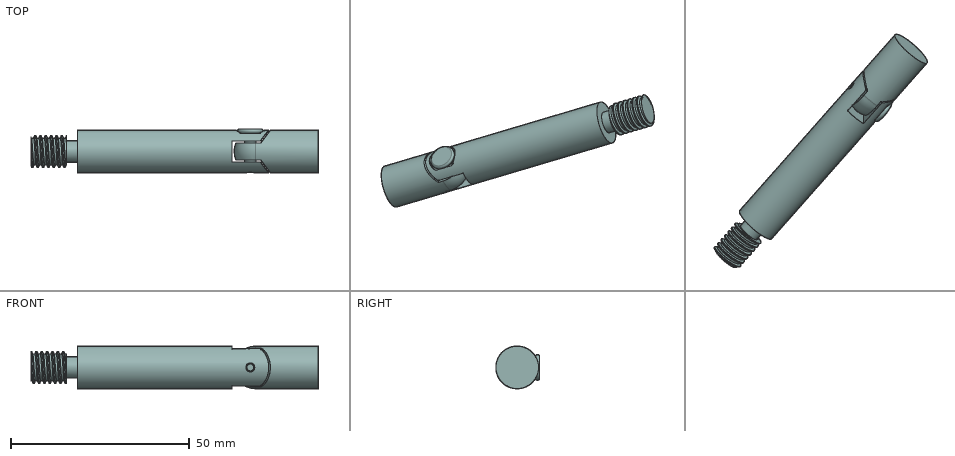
import cadquery as cq
import math

total_length = 80.5
body_dia = 12.0
body_radius = body_dia / 2
pivot_x = 61.4
cut_size = 2 * body_dia

thread_dia = 9.0
root_dia = 7.6
thread_pitch = 1.5
thread_crest_width = 0.3
thread_base_width = 1.05
thread_embed = 0.2
thread_length = 10.0
neck_dia = 6.0
body_start = 13.0

slot_start = 56.35
slot_width = 5.8
tongue_width = 4.8
tongue_sphere_x = 62.9

shoulder_start = 64.2
shoulder_end = 66.6
shoulder_gap = 0.5

shank_dia = 3.3
tip_dia = 2.5
tip_chamfer = 0.28
tip_end_y = -5.6
head_dia = 7.25
head_seat_y = 5.1
head_top_y = 6.32
head_face_dia = 6.3
counterbore_dia = 8.05


def x_cylinder(diameter, start, end):
    """Cylinder on the X axis."""
    return cq.Workplane("YZ", origin=(start, 0, 0)).circle(diameter / 2).extrude(end - start)


def pivot_cylinder(diameter, start, end):
    """Cylinder on the pivot axis, running in +Y from start to end."""
    plane = cq.Plane(origin=(pivot_x, start, 0), xDir=(1, 0, 0), normal=(0, 1, 0))
    return cq.Workplane(plane).circle(diameter / 2).extrude(end - start)


def x_box(start, end, width):
    """Box centred on the X axis, of the given Y width and tall enough to cut through."""
    return cq.Workplane("XY").box(end - start, width, cut_size).translate(((start + end) / 2, 0, 0))


def thread():
    """Right-hand ridge on a root cylinder, trimmed flat at both ends."""
    plane = cq.Plane(origin=(-thread_pitch, 0, 0), xDir=(0, 0, 1), normal=(1, 0, 0))
    root_radius = root_dia / 2
    base_radius = root_radius - thread_embed
    helix_length = thread_length + 2 * thread_pitch
    helix = cq.Wire.makeHelix(thread_pitch, helix_length, root_radius)
    ridge = (
        cq.Workplane("XZ")
        .moveTo(base_radius, -thread_base_width / 2)
        .lineTo(thread_dia / 2, -thread_crest_width / 2)
        .lineTo(thread_dia / 2, thread_crest_width / 2)
        .lineTo(base_radius, thread_base_width / 2)
        .close()
        .sweep(cq.Workplane(helix), isFrenet=True)
    )
    ridge = cq.Workplane(ridge.val().moved(cq.Location(plane)))
    for start in (-cut_size, thread_length):
        ridge = ridge.cut(x_cylinder(cut_size, start, start + cut_size))
    return x_cylinder(root_dia, 0, thread_length).union(ridge)


def sloped_end(offset):
    """Solid left of the V-shaped shoulder faces, shifted by offset along X."""
    slope = (shoulder_end - shoulder_start) / (body_radius - slot_width / 2)
    apex_x = shoulder_start - slope * slot_width / 2 + offset
    side_x = apex_x + slope * body_dia
    return (
        cq.Workplane("XY")
        .polyline([
            (0, -body_dia),
            (side_x, -body_dia),
            (apex_x, 0),
            (side_x, body_dia),
            (0, body_dia),
        ])
        .close()
        .extrude(cut_size / 2, both=True)
    )


def make_fork():
    """Threaded shaft ending in two ears that hold the pivot screw."""
    shaft = x_cylinder(body_dia, body_start, total_length).intersect(sloped_end(0))
    slot = x_box(slot_start, total_length, slot_width)
    fork = (
        shaft.cut(slot)
        .cut(pivot_cylinder(tip_dia, -body_dia, 0))
        .cut(pivot_cylinder(shank_dia, 0, body_dia))
        .cut(pivot_cylinder(counterbore_dia, head_seat_y, body_dia))
    )
    neck = x_cylinder(neck_dia, thread_length, body_start)
    return fork.union(neck).union(thread())


def make_tongue():
    """Round end piece whose flat tongue has a spherical tip."""
    tip_x = tongue_sphere_x - body_radius
    arc_mid = body_radius * math.sqrt(0.5)
    blank = (
        cq.Workplane("XY")
        .moveTo(tip_x, 0)
        .threePointArc((tongue_sphere_x - arc_mid, arc_mid), (tongue_sphere_x, body_radius))
        .lineTo(total_length, body_radius)
        .lineTo(total_length, 0)
        .close()
        .revolve(360, (0, 0), (1, 0))
    )
    cheeks = sloped_end(shoulder_gap).cut(x_box(0, total_length, tongue_width))
    return blank.cut(cheeks).cut(pivot_cylinder(shank_dia, -body_dia, body_dia))


def make_pivot_screw():
    """Headed screw with a full shank across the slot and a thinner tip in the far ear."""
    head = (
        cq.Workplane("XY", origin=(pivot_x, 0, 0))
        .moveTo(0, head_seat_y)
        .lineTo(head_face_dia / 2, head_seat_y)
        .threePointArc(
            (head_dia / 2, (head_seat_y + head_top_y) / 2),
            (head_face_dia / 2, head_top_y),
        )
        .lineTo(0, head_top_y)
        .close()
        .revolve(360, (0, 0), (0, 1))
    )
    shank = pivot_cylinder(shank_dia, -slot_width / 2, head_seat_y)
    tip = pivot_cylinder(tip_dia, tip_end_y, -slot_width / 2).faces("<Y").chamfer(tip_chamfer)
    return head.union(shank).union(tip)


fork = make_fork()
tongue = make_tongue()
pivot_screw = make_pivot_screw()

result = cq.Compound.makeCompound([*fork.solids().vals(), *tongue.solids().vals(), *pivot_screw.solids().vals()])